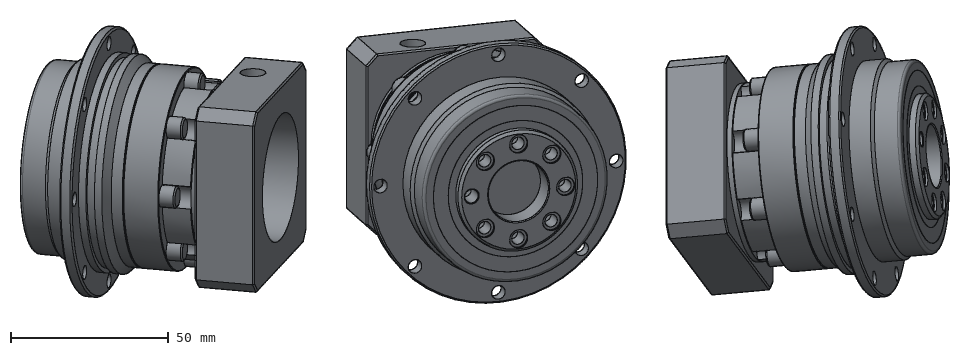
import cadquery as cq
import math

OUTPUT_LENGTH = 3.0
NOSE_END = 11.5
PILOT_START = 12.55
FLANGE_START = 19.5
FLANGE_END = 23.6
GROOVE_START = 26.0
GROOVE_END = 28.8
COLLAR_END = 31.2
BODY_START = 33.6
RING_START = 37.5
RING_END = 49.2
HEAD_END = 54.35
ADAPTER_START = 58.7
PLATE_START = 60.4
PLATE_END = 80.0

HUB_RADIUS = 20.0
NOSE_RADIUS = 31.0
PILOT_RADIUS = 32.0
FLANGE_RADIUS = 43.0
COLLAR_RADIUS = 35.0
GROOVE_RADIUS = 33.5
BODY_RADIUS = 32.5
LOBE_RADIUS = 28.5

HUB_CHAMFER = 0.95
NOSE_FILLET = 0.95
FLANGE_FRONT_CHAMFER = 0.5
FLANGE_REAR_CHAMFER = 0.6
JOINT_CHAMFER = 0.3

BORE_RADIUS = 10.1
BORE_DEPTH = 8.0
BORE_CHAMFER = 0.35
HUB_HOLE_COUNT = 8
HUB_HOLE_CIRCLE = 15.7
THREAD_RADIUS = 2.1
THREAD_DEPTH = 6.9
COUNTERBORE_RADIUS = 3.0
COUNTERBORE_DEPTH = 0.8
DOWEL_RADIUS = 2.2
DOWEL_CHAMFER = 0.3
DRILL_TIP_ANGLE = 118
SEAL_INNER_RADIUS = 22.5
SEAL_OUTER_RADIUS = 27.5
SEAL_DEPTH = 0.1

FLANGE_HOLE_COUNT = 8
FLANGE_HOLE_CIRCLE = 39.5
FLANGE_HOLE_RADIUS = 2.2

SCREW_COUNT = 8
SCREW_CIRCLE = 28.6
SCREW_HEAD_RADIUS = 3.5
SCREW_HEAD_CHAMFER = 0.5
SCREW_SLOT_RADIUS = 3.7

PLATE_SIDE = 60.0
PLATE_CORNER_CHAMFER = 3.6
PLATE_EDGE_CHAMFER = 0.5
MOTOR_BORE_RADIUS = 20.6
PORT_X = 67.5
PORT_Y = 11.95
PORT_RADIUS = 4.0
PORT_DEPTH = 6.9
PORT_STEP_RADIUS = 2.75
PORT_STEP_DEPTH = 1.3
PORT_HOLE_RADIUS = 2.15


def rod(start, end, radius, y=0.0, z=0.0):
    """Cylinder along X from start to end."""
    return cq.Workplane("YZ", origin=(start, y, z)).circle(radius).extrude(end - start)


def around(count, circle_radius):
    """(y, z) centres spread evenly on a circle about the axis, the first one at +Y."""
    angles = [2 * math.pi * i / count for i in range(count)]
    return [(circle_radius * math.cos(a), circle_radius * math.sin(a)) for a in angles]


def drilled_hole(radius, depth, y, z):
    """Cutter for a blind hole in the output face, with a conical drill tip."""
    tip = radius / math.tan(math.radians(DRILL_TIP_ANGLE / 2))
    profile = [(0, 0), (0, radius), (depth, radius), (depth + tip, 0)]
    cutter = cq.Workplane("XY").polyline(profile).close().revolve(360, (0, 0, 0), (1, 0, 0))
    return cutter.translate((0, y, z))


def hole_mouth(radius, chamfer, y=0.0, z=0.0):
    """Cutter for the chamfer where a hole opens in the output face."""
    centre = cq.Vector(0, y, z)
    axis = cq.Vector(1, 0, 0)
    return cq.Workplane(cq.Solid.makeCone(radius + chamfer, radius, chamfer, centre, axis))


def make_front_housing():
    """Output hub, nose, mounting flange and grooved collar, turned in one profile."""
    housing = (
        cq.Workplane("XY")
        .lineTo(0, HUB_RADIUS - HUB_CHAMFER)
        .lineTo(HUB_CHAMFER, HUB_RADIUS)
        .lineTo(OUTPUT_LENGTH, HUB_RADIUS)
        .lineTo(OUTPUT_LENGTH, NOSE_RADIUS - NOSE_FILLET)
        .radiusArc((OUTPUT_LENGTH + NOSE_FILLET, NOSE_RADIUS), NOSE_FILLET)
        .lineTo(NOSE_END, NOSE_RADIUS)
        .lineTo(PILOT_START, PILOT_RADIUS)
        .lineTo(FLANGE_START, PILOT_RADIUS)
        .lineTo(FLANGE_START, FLANGE_RADIUS - FLANGE_FRONT_CHAMFER)
        .lineTo(FLANGE_START + FLANGE_FRONT_CHAMFER, FLANGE_RADIUS)
        .lineTo(FLANGE_END - FLANGE_REAR_CHAMFER, FLANGE_RADIUS)
        .lineTo(FLANGE_END, FLANGE_RADIUS - FLANGE_REAR_CHAMFER)
        .lineTo(FLANGE_END, COLLAR_RADIUS)
        .lineTo(GROOVE_START, COLLAR_RADIUS)
        .lineTo(GROOVE_START, GROOVE_RADIUS)
        .lineTo(GROOVE_END, GROOVE_RADIUS)
        .lineTo(GROOVE_END, COLLAR_RADIUS)
        .lineTo(COLLAR_END, COLLAR_RADIUS)
        .lineTo(BODY_START, BODY_RADIUS)
        .lineTo(RING_START - JOINT_CHAMFER, BODY_RADIUS)
        .lineTo(RING_START, BODY_RADIUS - JOINT_CHAMFER)
        .lineTo(RING_START, 0)
        .close()
        .revolve(360, (0, 0, 0), (1, 0, 0))
    )

    seal_end = OUTPUT_LENGTH + SEAL_DEPTH
    seal = rod(OUTPUT_LENGTH, seal_end, SEAL_OUTER_RADIUS)
    housing = housing.cut(seal.cut(rod(OUTPUT_LENGTH, seal_end, SEAL_INNER_RADIUS)))

    housing = housing.cut(rod(0, BORE_DEPTH, BORE_RADIUS))
    housing = housing.cut(hole_mouth(BORE_RADIUS, BORE_CHAMFER))

    dowel, *threads = around(HUB_HOLE_COUNT, HUB_HOLE_CIRCLE)
    housing = housing.cut(drilled_hole(DOWEL_RADIUS, THREAD_DEPTH, *dowel))
    housing = housing.cut(hole_mouth(DOWEL_RADIUS, DOWEL_CHAMFER, *dowel))
    for y, z in threads:
        housing = housing.cut(drilled_hole(THREAD_RADIUS, THREAD_DEPTH, y, z))
        housing = housing.cut(rod(0, COUNTERBORE_DEPTH, COUNTERBORE_RADIUS, y, z))

    for y, z in around(FLANGE_HOLE_COUNT, FLANGE_HOLE_CIRCLE):
        housing = housing.cut(rod(FLANGE_START, FLANGE_END, FLANGE_HOLE_RADIUS, y, z))
    return housing


def make_gear_ring():
    """Gear ring with a lobed neck and the screw heads that stand between the lobes."""
    ring = rod(RING_START, RING_END, BODY_RADIUS).faces("<X or >X").edges().chamfer(JOINT_CHAMFER)
    neck = rod(RING_END, ADAPTER_START, LOBE_RADIUS).faces(">X").edges().chamfer(JOINT_CHAMFER)
    centres = around(SCREW_COUNT, SCREW_CIRCLE)
    for y, z in centres:
        neck = neck.cut(rod(RING_END, ADAPTER_START, SCREW_SLOT_RADIUS, y, z))
    ring = ring.union(neck)
    for y, z in centres:
        head = rod(RING_END, HEAD_END, SCREW_HEAD_RADIUS, y, z)
        ring = ring.union(head.faces(">X").edges().chamfer(SCREW_HEAD_CHAMFER))
    return ring


def make_motor_adapter():
    """Square plate with a round collar, a motor bore and a stepped access port on top."""
    plate = (
        cq.Workplane("YZ", origin=(PLATE_START, 0, 0))
        .rect(PLATE_SIDE, PLATE_SIDE)
        .extrude(PLATE_END - PLATE_START)
        .edges("|X")
        .chamfer(PLATE_CORNER_CHAMFER)
        .faces("<X or >X")
        .edges()
        .chamfer(PLATE_EDGE_CHAMFER)
    )
    adapter = plate.union(rod(ADAPTER_START, PLATE_START, LOBE_RADIUS))
    adapter = adapter.cut(rod(ADAPTER_START, PLATE_END, MOTOR_BORE_RADIUS))

    top = PLATE_SIDE / 2
    port_steps = [
        (PORT_RADIUS, PORT_DEPTH),
        (PORT_STEP_RADIUS, PORT_DEPTH + PORT_STEP_DEPTH),
        (PORT_HOLE_RADIUS, top),
    ]
    for radius, depth in port_steps:
        step = cq.Workplane("XY", origin=(PORT_X, PORT_Y, top)).circle(radius).extrude(-depth)
        adapter = adapter.cut(step)
    return adapter


front_housing = make_front_housing()
gear_ring = make_gear_ring()
motor_adapter = make_motor_adapter()

result = cq.Compound.makeCompound([front_housing.val(), gear_ring.val(), motor_adapter.val()])